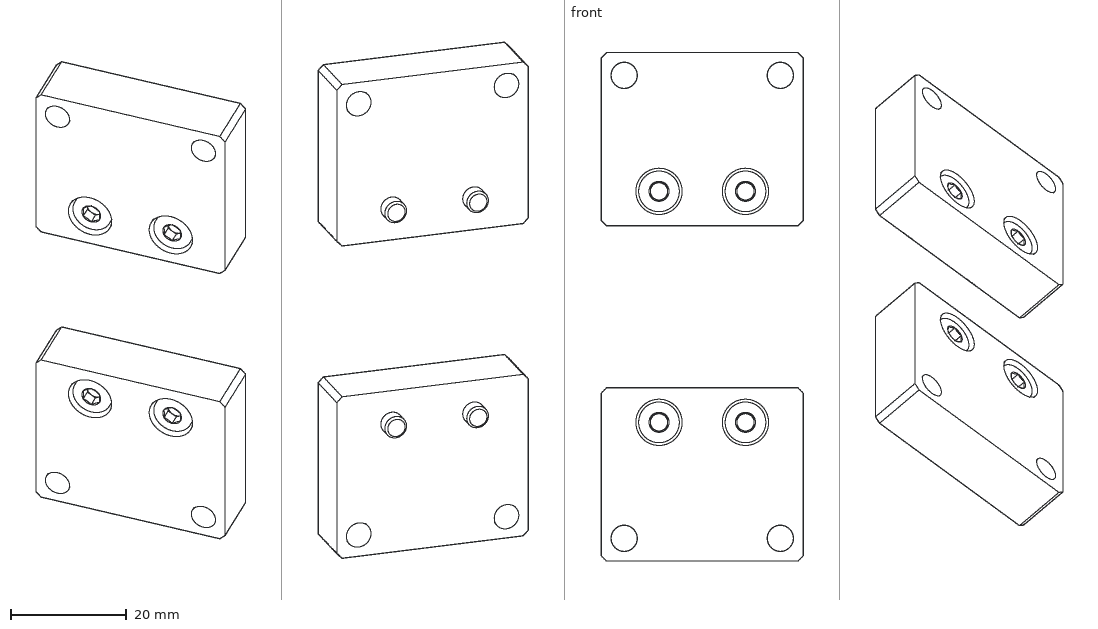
import cadquery as cq
import math

overall_height = 88.0
plate_width = 35.0
plate_height = 30.0
plate_thickness = 10.0
corner_chamfer = 1.0
plate_center_z = (overall_height - plate_height) / 2

mounting_hole_diameter = 4.5
mounting_hole_spacing = 27.0
mounting_hole_inset = 4.0
mounting_hole_x = mounting_hole_spacing / 2
mounting_hole_z = plate_height / 2 - mounting_hole_inset

overall_depth = 12.6
screw_spacing = 15.0
screw_inset = 6.0
screw_x = screw_spacing / 2
screw_z = plate_height / 2 - screw_inset
shank_diameter = 4.0
tip_chamfer = 0.4
head_diameter = 7.0
head_height = 4.0
head_fillet = 0.4
head_recess = 0.6
counterbore_diameter = 8.0
counterbore_depth = head_recess + head_height

socket_across_flats = 3.0
socket_depth = 2.0
socket_turn = 30.0
socket_corner_diameter = socket_across_flats / math.cos(math.pi / 6)
cone_angle = 120.0
cone_slope = math.tan(math.radians(cone_angle / 2))
drill_point_depth = socket_across_flats / 2 / cone_slope
mouth_depth = socket_corner_diameter / 2 / cone_slope


def cylinder_along_y(diameter, start_y, end_y):
    """Cylinder on the Y axis between two Y positions."""
    plane = cq.Workplane("XZ", origin=(0, start_y, 0))
    return plane.circle(diameter / 2).extrude(start_y - end_y)


def cone_along_y(diameter, start_y, depth):
    """Cone on the Y axis, widest at start_y and pointing toward +Y."""
    start = cq.Vector(0, start_y, 0)
    return cq.Workplane(cq.Solid.makeCone(diameter / 2, 0, depth, pnt=start, dir=cq.Vector(0, 1, 0)))


def make_plate(outward):
    """Plate with its front face at Y = 0; outward is +1 (upper) or -1 (lower)."""
    center_z = outward * plate_center_z
    plate = (
        cq.Workplane("XY")
        .box(plate_width, plate_thickness, plate_height)
        .edges("|Y")
        .chamfer(corner_chamfer)
        .translate((0, plate_thickness / 2, center_z))
    )
    mounting_hole = cylinder_along_y(mounting_hole_diameter, 0, plate_thickness)
    screw_hole = cylinder_along_y(shank_diameter, 0, plate_thickness)
    counterbore = cylinder_along_y(counterbore_diameter, 0, counterbore_depth)
    stepped_hole = screw_hole.union(counterbore)
    for side in (-1, 1):
        mounting_hole_place = (side * mounting_hole_x, 0, center_z + outward * mounting_hole_z)
        screw_place = (side * screw_x, 0, center_z - outward * screw_z)
        plate = plate.cut(mounting_hole.translate(mounting_hole_place))
        plate = plate.cut(stepped_hole.translate(screw_place))
    return plate


def make_socket_cutter():
    """Hexagonal prism with a wider mouth and a pointed bottom, starting at the head's top face."""
    prism = (
        cq.Workplane("XZ", origin=(0, head_recess, 0))
        .transformed(rotate=(0, 0, socket_turn))
        .polygon(6, socket_corner_diameter)
        .extrude(-socket_depth)
    )
    mouth = cone_along_y(socket_corner_diameter, head_recess, mouth_depth)
    drill_point = cone_along_y(socket_across_flats, head_recess + socket_depth, drill_point_depth)
    return prism.union(mouth).union(drill_point)


def make_screw(x, z):
    """Socket head screw along +Y, sunk below the front face, its tip behind the plate."""
    head = cylinder_along_y(head_diameter, head_recess, counterbore_depth)
    head = head.faces("<Y").edges().fillet(head_fillet)
    shank = cylinder_along_y(shank_diameter, counterbore_depth, overall_depth)
    shank = shank.faces(">Y").edges().chamfer(tip_chamfer)
    screw = head.union(shank).cut(make_socket_cutter())
    return screw.translate((x, 0, z))


plates = []
screws = []
for outward in (-1, 1):
    plates.append(make_plate(outward).val())
    for side in (-1, 1):
        screw = make_screw(side * screw_x, outward * (plate_center_z - screw_z))
        screws.append(screw.val())

result = cq.Compound.makeCompound([*plates, *screws])